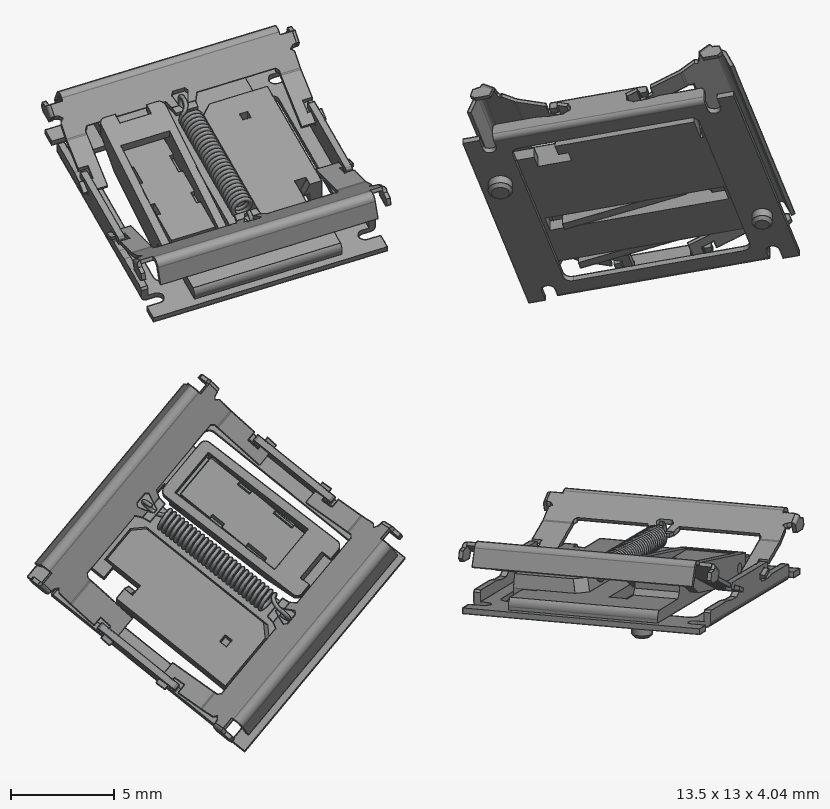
import cadquery as cq
import math

WIDTH = 13.5
DEPTH = 12.2
HALF_DEPTH = DEPTH / 2
DEPTH_OVER_EARS = 13.0
FAR = 27

PLATE_THICKNESS = 0.28
WALL_THICKNESS = 0.34
WALL_BEND_RADIUS = 0.27
WALL_HALF_LENGTH = 5.26
WALL_LOW_TOP = 0.85
WALL_HIGH_TOP = 1.59
WALL_HUMP_HALF = 2.42
WALL_HUMP_CORNER = 0.11
OPENING_HALF_X = 4.66
OPENING_HALF_Y = 5.06
OPENING_RADIUS = 0.4
NOTCH_WIDTH = 0.66
NOTCH_DEPTH = 1.01

RAIL_OUTER_X = 6.36
RAIL_INNER_X = 4.45
RAIL_FRONT_Y = -3.8
RAIL_BACK_Y = 3.9
RAIL_TOP = 0.88
RAIL_CURVE_START = 0.45
RAIL_CURVE_MIDDLE = 0.7
RAIL_CURVE_BULGE_X = 6.32
RAIL_CURVE_TOP_X = 6.17
RAISED_TOP = 1.55
DECK_HALF_X = 4.32
DECK_FRONT_Y = 0.7
DECK_BACK_Y = 4.41
DECK_CORNER = 0.54
DECK_DRAFT = 0.15
CUTOUT_INNER_X = 2.1
CUTOUT_OUTER_X = 2.6
CUTOUT_FRONT_Y = 3.2
CUTOUT_STEP_Y = 3.8
CATCH_LEFT_X = 2.2
CATCH_TIP_Y = 3.47
LEDGE_LEFT_X = 3.8
RECESS_LEFT_X = -3.0
RECESS_FRONT_Y = 2.47
RECESS_SIZE = 0.42
SPRING_FLOOR_FRONT_Y = -0.57
CORE_LEFT_X = -3.44
CORE_RIGHT_X = 3.45
CORE_BACK_Y = -1.5
CORE_STEP_Z = 1.17
CORE_FOOT_RUN = 0.2
SNAP_WIDTH = 0.2
SNAP_FLOOR_WIDTH = 0.11
SNAP_DEPTH = 0.27
SNAP_SPANS = [(-1.74, -0.61), (0.89, 1.62)]

ROCKER_LEFT_X = -4.29
ROCKER_RIGHT_X = 4.29
ROCKER_BACK_Y = -0.97
ROCKER_FRONT_Y = -4.35
ROCKER_WALL = 0.42
ROCKER_CORNER = 0.32
ROCKER_TOP_LEFT_Z = 2.7
ROCKER_TOP_RIGHT_Z = 1.46
ROCKER_PLATE = 0.42
ROCKER_HEIGHT = 1.47
ROCKER_HEEL_X = -2.31
ROCKER_TIP_HEIGHT = 0.63
WINDOW_LEFT_X = -2.5
WINDOW_RIGHT_X = 3.7
FINGER_NOTCH_DEPTH = 0.55
FINGER_NOTCH_DRAFT = 0.14
FINGER_NOTCH_WIDTH = 1.63
FINGER_NOTCH_Y = -2.65
PIVOT_X = 3.24
PIVOT_Z = 0.9
PIVOT_RADIUS = 0.27

SHEET = 0.19
CURL_CENTRE = (-5.93, 3.04)
CURL_RADIUS = 0.39
SLOPE = 34.6
LIP_ANGLE = 158
LIP_LENGTH = 0.93
BEND_X = -4.05
BEND_RADIUS = 0.35
ARM_SLOPE = 22.5
ARM_END_X = -1.43
WING_INNER_X = -4.36
ARM_INNER_Y = 5.06
WIDE_ARM_INNER_Y = 4.59
CURL_HALF_Y = 5.67
CURL_END_X = -5.59
EAR_OUTER_Y = DEPTH_OVER_EARS / 2
EAR_THICKNESS = 0.2
EAR_BEND_RADIUS = 0.19
INNER_CORNER = 0.14
TONGUE_ROOT_Y = 0.81
TONGUE_START_X = -4.12
TONGUE_START_HALF_WIDTH = 0.63
TONGUE_END_X = -3.65
TONGUE_END_HALF_WIDTH = 0.57
TAB_LEFT_X = -1.98
TAB_OUTER_Y = 6.33

WIRE_DIAMETER = 0.2
COIL_OUTER_DIAMETER = 1.19
COIL_RADIUS = (COIL_OUTER_DIAMETER - WIRE_DIAMETER) / 2
COIL_LENGTH = 6.55
COIL_START_ANGLE = 143
COIL_END_ANGLE = 360 - COIL_START_ANGLE
FULL_TURNS = 26
COIL_PITCH = COIL_LENGTH / (FULL_TURNS + (COIL_END_ANGLE - COIL_START_ANGLE) / 360)
SPRING_Z = 2.09
HOOK_X = 4.02

PEG_LENGTH = 0.61
PEG_CHAMFER = 0.16
PEG_X = 5.78
PEG_Y = 2.77
SMALL_PEG_DIAMETER = 1.0
LARGE_PEG_DIAMETER = 1.17


def block(x_range, y_range, z_range):
    """Box between the given limits."""
    size = [high - low for low, high in (x_range, y_range, z_range)]
    corner = [low for low, high in (x_range, y_range, z_range)]
    return cq.Workplane("XY").box(*size, centered=False).translate(tuple(corner))


def side_profile(points, y_range):
    """Prism along Y whose outline is given as (x, z) points."""
    low, high = y_range
    return cq.Workplane("XZ", origin=(0, high, 0)).polyline(points).close().extrude(high - low)


def mirrored_x(body):
    return body.mirror("YZ")


def mirrored_y(body):
    return body.mirror("XZ")


def wall_slot():
    """Hook-shaped opening in the wall for the tab of the -X wing."""
    outline = [
        (-WALL_HUMP_HALF - 0.68, WALL_LOW_TOP),
        (-WALL_HUMP_HALF, 0.75),
        (-1.75, 0.75),
        (-1.4, 0.95),
        (-1.4, 1.17),
        (-1.98, 1.4),
        (-2.04, 1.34),
        (-2.08, 1.22),
        (-WALL_HUMP_HALF, 1.22),
        (-WALL_HUMP_HALF - 0.68, WALL_HIGH_TOP),
    ]
    return side_profile(outline, (-FAR, FAR))


def frame_wall():
    """Wall folded up along the front edge, with a rounded bend at its foot."""
    y_range = (-HALF_DEPTH, -HALF_DEPTH + WALL_THICKNESS)
    low = block((-WALL_HALF_LENGTH, WALL_HALF_LENGTH), y_range, (0, WALL_LOW_TOP))
    low = low.edges("|Y and >Z").chamfer(WALL_HUMP_CORNER)
    hump = block((-WALL_HUMP_HALF, WALL_HUMP_HALF), y_range, (0, WALL_HIGH_TOP))
    hump = hump.edges("|Y and >Z").fillet(WALL_HUMP_CORNER)
    return low.union(hump).cut(wall_slot()).cut(mirrored_x(wall_slot()))


def corner_notches():
    """Round-ended relief notches beside the ends of both walls."""
    notch_x = WALL_HALF_LENGTH + NOTCH_WIDTH / 2
    notches = cq.Workplane("XY").pushPoints(
        [(x, y) for x in (-notch_x, notch_x) for y in (-HALF_DEPTH, HALF_DEPTH)]
    )
    return notches.slot2D(2 * NOTCH_DEPTH, NOTCH_WIDTH, 90).extrude(PLATE_THICKNESS)


def make_frame():
    plate = cq.Workplane("XY").rect(WIDTH, DEPTH).extrude(PLATE_THICKNESS)
    opening = cq.Workplane("XY").rect(2 * OPENING_HALF_X, 2 * OPENING_HALF_Y).extrude(PLATE_THICKNESS)
    plate = plate.cut(opening.edges("|Z").fillet(OPENING_RADIUS)).cut(corner_notches())
    frame = plate.union(frame_wall()).union(mirrored_y(frame_wall()))
    for y in (-HALF_DEPTH, HALF_DEPTH):
        foot = cq.selectors.BoxSelector((-WALL_HALF_LENGTH, y - 0.14, -0.14), (WALL_HALF_LENGTH, y + 0.14, 0.14))
        frame = frame.edges("|X").edges(foot).fillet(WALL_BEND_RADIUS)
    return frame


def rail():
    """Round-shouldered rail lying on the -X side of the frame."""
    outline = (
        cq.Workplane("XZ", origin=(0, RAIL_BACK_Y, 0))
        .moveTo(-RAIL_INNER_X, PLATE_THICKNESS)
        .lineTo(-RAIL_OUTER_X, PLATE_THICKNESS)
        .lineTo(-RAIL_OUTER_X, RAIL_CURVE_START)
        .threePointArc((-RAIL_CURVE_BULGE_X, RAIL_CURVE_MIDDLE), (-RAIL_CURVE_TOP_X, RAIL_TOP))
        .lineTo(-RAIL_INNER_X, RAIL_TOP)
        .close()
    )
    return outline.extrude(RAIL_BACK_Y - RAIL_FRONT_Y)


def deck_section(inset):
    """Plan outline of the deck, with its front corners cut off, drawn in by the inset."""
    x = DECK_HALF_X - inset
    y = DECK_FRONT_Y + inset
    return [
        (-x, DECK_BACK_Y),
        (-x, y + DECK_CORNER),
        (-x + DECK_CORNER, y),
        (x - DECK_CORNER, y),
        (x, y + DECK_CORNER),
        (x, DECK_BACK_Y),
    ]


def deck():
    """Raised deck behind the spring: drafted sides, a stepped corner cut-out, a catch and a square recess."""
    base = cq.Workplane("XY", origin=(0, 0, PLATE_THICKNESS)).polyline(deck_section(0)).close()
    base = base.extrude(RAIL_TOP - PLATE_THICKNESS)
    raised = cq.Workplane("XY", origin=(0, 0, RAIL_TOP)).polyline(deck_section(0)).close()
    raised = raised.workplane(offset=RAISED_TOP - RAIL_TOP).polyline(deck_section(DECK_DRAFT)).close()
    raised = raised.loft(ruled=True)

    wide_cut = block((CUTOUT_OUTER_X, FAR), (CUTOUT_FRONT_Y, FAR), (0, FAR))
    undercut = block((CUTOUT_INNER_X, CUTOUT_OUTER_X), (CUTOUT_FRONT_Y, CUTOUT_STEP_Y), (0, FAR))
    catch = (
        cq.Workplane("YZ", origin=(CATCH_LEFT_X, 0, 0))
        .polyline([(CUTOUT_STEP_Y, RAIL_TOP), (CUTOUT_STEP_Y, RAISED_TOP), (CATCH_TIP_Y, RAIL_TOP)])
        .close()
        .extrude(CUTOUT_OUTER_X - CATCH_LEFT_X)
    )
    recess = block(
        (RECESS_LEFT_X, RECESS_LEFT_X + RECESS_SIZE),
        (RECESS_FRONT_Y, RECESS_FRONT_Y + RECESS_SIZE),
        (RAIL_TOP, RAISED_TOP),
    )
    return base.union(raised).cut(wide_cut).cut(undercut).union(catch).cut(recess)


def low_floor():
    """Floor at rail height that joins the rails, the deck and the ledge in the corner cut-out."""
    heights = (PLATE_THICKNESS, RAIL_TOP)
    floor = block((-RAIL_INNER_X, RAIL_INNER_X), (SPRING_FLOOR_FRONT_Y, CUTOUT_FRONT_Y), heights)
    ledge = block((LEDGE_LEFT_X, RAIL_INNER_X), (CUTOUT_FRONT_Y, RAIL_BACK_Y), heights)
    return floor.union(ledge)


def snap_recesses():
    """Recesses with a sloping back along both long edges of the core."""
    recesses = cq.Workplane("XY")
    for edge_y, inward in ((CORE_BACK_Y, -1), (RAIL_FRONT_Y, 1)):
        outline = [
            (edge_y, RAISED_TOP),
            (edge_y + inward * SNAP_WIDTH, RAISED_TOP),
            (edge_y + inward * SNAP_FLOOR_WIDTH, RAISED_TOP - SNAP_DEPTH),
            (edge_y, RAISED_TOP - SNAP_DEPTH),
        ]
        for left, right in SNAP_SPANS:
            recess = cq.Workplane("YZ", origin=(left, 0, 0)).polyline(outline).close().extrude(right - left)
            recesses = recesses.add(recess)
    return recesses


def core():
    """Raised block inside the rocker, standing on a foot that joins the rails."""
    y_range = (RAIL_FRONT_Y, CORE_BACK_Y)
    foot = block((-RAIL_INNER_X, RAIL_INNER_X), y_range, (PLATE_THICKNESS, RAIL_TOP))
    outline = [
        (CORE_LEFT_X - CORE_FOOT_RUN, RAIL_TOP),
        (CORE_LEFT_X, CORE_STEP_Z),
        (CORE_LEFT_X, RAISED_TOP),
        (CORE_RIGHT_X, RAISED_TOP),
        (CORE_RIGHT_X, RAIL_TOP),
    ]
    body = side_profile(outline, y_range).union(foot)
    for recess in snap_recesses().vals():
        body = body.cut(cq.Workplane(recess))
    return body.union(pivot())


def pivot():
    """Pivot pin reaching both outer faces of the rocker."""
    axis = cq.Workplane("XZ", origin=(PIVOT_X, ROCKER_BACK_Y, PIVOT_Z))
    return axis.circle(PIVOT_RADIUS).extrude(ROCKER_BACK_Y - ROCKER_FRONT_Y)


def make_housing():
    housing = deck().union(low_floor()).union(core())
    return housing.union(rail()).union(mirrored_x(rail()))


def make_rocker():
    tilt = (ROCKER_TOP_LEFT_Z - ROCKER_TOP_RIGHT_Z) / (ROCKER_RIGHT_X - ROCKER_LEFT_X)

    def under_top(x, drop):
        return (x, ROCKER_TOP_LEFT_Z - tilt * (x - ROCKER_LEFT_X) - drop)

    outline = [
        under_top(ROCKER_LEFT_X, 0),
        under_top(ROCKER_RIGHT_X, 0),
        (ROCKER_RIGHT_X, RAIL_TOP),
        (WINDOW_RIGHT_X, RAIL_TOP),
        under_top(WINDOW_RIGHT_X, ROCKER_HEIGHT),
        under_top(ROCKER_HEEL_X, ROCKER_HEIGHT),
        under_top(ROCKER_LEFT_X, ROCKER_TIP_HEIGHT),
    ]
    body = side_profile(outline, (ROCKER_FRONT_Y, ROCKER_BACK_Y))
    rounded = block((ROCKER_LEFT_X, ROCKER_RIGHT_X), (ROCKER_FRONT_Y, ROCKER_BACK_Y), (0, FAR))
    body = body.intersect(rounded.edges("|Z").fillet(ROCKER_CORNER))

    inner_y = (ROCKER_FRONT_Y + ROCKER_WALL, ROCKER_BACK_Y - ROCKER_WALL)
    window = block((WINDOW_LEFT_X, WINDOW_RIGHT_X), inner_y, (0, FAR))
    hollow = side_profile(
        [
            under_top(ROCKER_LEFT_X, ROCKER_PLATE),
            under_top(WINDOW_LEFT_X, ROCKER_PLATE),
            (WINDOW_LEFT_X, 0),
            (ROCKER_LEFT_X, 0),
        ],
        inner_y,
    )
    notch_end_x = ROCKER_LEFT_X + FINGER_NOTCH_DEPTH
    finger_notch = side_profile(
        [
            under_top(ROCKER_LEFT_X, 0),
            under_top(notch_end_x, 0),
            under_top(notch_end_x - FINGER_NOTCH_DRAFT, ROCKER_PLATE),
            under_top(ROCKER_LEFT_X, ROCKER_PLATE),
        ],
        (FINGER_NOTCH_Y - FINGER_NOTCH_WIDTH / 2, FINGER_NOTCH_Y + FINGER_NOTCH_WIDTH / 2),
    )
    return body.cut(window).cut(hollow).cut(finger_notch).cut(pivot())


def curl_point(radius, degrees):
    """(x, z) point at the given radius and angle about the curl centre."""
    angle = math.radians(degrees)
    return (CURL_CENTRE[0] + radius * math.cos(angle), CURL_CENTRE[1] + radius * math.sin(angle))


def shifted(point, distance, degrees):
    """(x, z) point moved by a distance in the given direction."""
    angle = math.radians(degrees)
    return (point[0] + distance * math.cos(angle), point[1] + distance * math.sin(angle))


def slope_point(x):
    """Point at the given x on the upper face of the sloping plate."""
    start = curl_point(CURL_RADIUS, 90 - SLOPE)
    return shifted(start, (x - start[0]) / math.cos(math.radians(SLOPE)), -SLOPE)


def wing_strip():
    """Bent sheet of the -X wing over its full depth: lip, curl, sloping plate and flatter arm."""
    slope_start = 90 - SLOPE
    middle = (slope_start + LIP_ANGLE) / 2
    inner_radius = CURL_RADIUS - SHEET
    lip_outer = curl_point(CURL_RADIUS, LIP_ANGLE)
    lip_inner = curl_point(inner_radius, LIP_ANGLE)
    lip_direction = LIP_ANGLE + 90
    bend_top = slope_point(BEND_X)
    arm_length = (ARM_END_X - BEND_X) / math.cos(math.radians(ARM_SLOPE))
    arm_top = shifted(bend_top, arm_length, -ARM_SLOPE)
    mitre = SHEET / math.cos(math.radians((SLOPE - ARM_SLOPE) / 2))
    bend_under = shifted(bend_top, -mitre, 90 - (SLOPE + ARM_SLOPE) / 2)
    outline = (
        cq.Workplane("XZ", origin=(0, FAR / 2, 0))
        .moveTo(*shifted(lip_outer, LIP_LENGTH, lip_direction))
        .lineTo(*lip_outer)
        .threePointArc(curl_point(CURL_RADIUS, middle), curl_point(CURL_RADIUS, slope_start))
        .lineTo(*bend_top)
        .lineTo(*arm_top)
        .lineTo(*shifted(arm_top, -SHEET, 90 - ARM_SLOPE))
        .lineTo(*bend_under)
        .lineTo(*curl_point(inner_radius, slope_start))
        .threePointArc(curl_point(inner_radius, middle), lip_inner)
        .lineTo(*shifted(lip_inner, LIP_LENGTH, lip_direction))
        .close()
    )
    strip = outline.extrude(FAR)
    for (x, z), radius in ((bend_top, BEND_RADIUS), (bend_under, BEND_RADIUS + SHEET)):
        bend = cq.selectors.BoxSelector((x - 0.01, -FAR, z - 0.01), (x + 0.01, FAR, z + 0.01))
        strip = strip.edges("|Y").edges(bend).fillet(radius)
    return strip


def square_end(x, y_range):
    """Cutter that trims the sloping plate square to its face, on the -X side of the given x."""
    edge = slope_point(x)
    above = shifted(edge, SHEET, 90 - SLOPE)
    below = shifted(edge, -2 * SHEET, 90 - SLOPE)
    outline = [above, below, (below[0], 0), (-FAR, 0), (-FAR, FAR), (above[0], FAR)]
    return side_profile(outline, y_range)


def square_inner_edge(y_range):
    """Cutter that trims the inner edge of the sloping plate square to its face."""
    edge = slope_point(WING_INNER_X)
    below = shifted(edge, -2 * SHEET, 90 - SLOPE)
    return side_profile([edge, below, (WING_INNER_X, below[1])], y_range)


def tongue():
    """Level tongue that holds the spring hook."""
    top = slope_point(BEND_X)[1]
    outline = [
        (TONGUE_START_X, TONGUE_START_HALF_WIDTH),
        (TONGUE_END_X, TONGUE_END_HALF_WIDTH),
        (TONGUE_END_X, -TONGUE_END_HALF_WIDTH),
        (TONGUE_START_X, -TONGUE_START_HALF_WIDTH),
    ]
    return cq.Workplane("XY", origin=(0, 0, top - SHEET)).polyline(outline).close().extrude(SHEET)


def half_plan(arm_inner_y):
    """Plan outline of one half of the -X wing, from the lip round the arm to the spring tongue."""
    return [
        (-WIDTH / 2, EAR_OUTER_Y - EAR_BEND_RADIUS),
        (-5.09, EAR_OUTER_Y - EAR_BEND_RADIUS),
        (-5.05, HALF_DEPTH),
        (-4.93, 5.94),
        (-4.79, HALF_DEPTH),
        (-2.6, HALF_DEPTH),
        (-2.6, 5.6),
        (TAB_LEFT_X, 5.6),
        (TAB_LEFT_X, TAB_OUTER_Y),
        (ARM_END_X, TAB_OUTER_Y),
        (ARM_END_X, arm_inner_y),
        (WING_INNER_X + INNER_CORNER, arm_inner_y),
        (WING_INNER_X, arm_inner_y - INNER_CORNER),
        (WING_INNER_X, TONGUE_ROOT_Y),
        (TONGUE_START_X, 0.66),
        (BEND_X, TONGUE_START_HALF_WIDTH),
    ]


def ear():
    """Lug folded down at the back end of the -X wing."""
    outline = [
        (-5.59, 3.27),
        (-5.09, 2.93),
        (-5.32, 2.4),
        (-6.06, 2.4),
        (-6.26, 2.59),
        (-6.15, 2.95),
        (-5.79, 3.02),
    ]
    lug = side_profile(outline, (EAR_OUTER_Y - EAR_THICKNESS, EAR_OUTER_Y))
    top_edge = cq.selectors.BoxSelector((-5.56, EAR_OUTER_Y - 0.01, 2.94), (-5.13, EAR_OUTER_Y + 0.01, 3.33))
    return lug.edges(top_edge).fillet(EAR_BEND_RADIUS)


def make_wing(back_arm_inner_y):
    """Wing on the -X side with a hole in its tongue for the spring hook."""
    back = half_plan(back_arm_inner_y)
    front = [(x, -y) for x, y in reversed(half_plan(ARM_INNER_Y))]
    plan = cq.Workplane("XY").polyline(back + front).close().extrude(FAR)
    hole_outline = [(-4.67, 0.31), (-4.54, 0.43), (-3.78, 0.12)]
    hole_mirror = [(x, -y) for x, y in reversed(hole_outline)]
    hole = cq.Workplane("XY").polyline(hole_outline + hole_mirror).close().extrude(FAR)
    wing = wing_strip().intersect(plan).union(tongue()).cut(hole)
    for y_range in ((CURL_HALF_Y, FAR), (-FAR, -CURL_HALF_Y)):
        wing = wing.cut(square_end(CURL_END_X, y_range))
    back_edge = (TONGUE_ROOT_Y, back_arm_inner_y - INNER_CORNER)
    front_edge = (INNER_CORNER - ARM_INNER_Y, -TONGUE_ROOT_Y)
    for y_range in (back_edge, front_edge):
        wing = wing.cut(square_inner_edge(y_range))
    return wing.union(ear()).union(mirrored_y(ear()))


def coil_tangent(degrees):
    """Direction of the coil at an angle measured from +Y towards +Z."""
    angle = math.radians(degrees)
    advance = COIL_PITCH / (2 * math.pi)
    return cq.Vector(advance, -COIL_RADIUS * math.sin(angle), COIL_RADIUS * math.cos(angle))


def coil_point(x, degrees):
    """Point on the centre line of the coil."""
    angle = math.radians(degrees)
    return cq.Vector(x, COIL_RADIUS * math.cos(angle), SPRING_Z + COIL_RADIUS * math.sin(angle))


def coil_wire():
    """Helix along X that starts at the coil start angle, measured from +Y towards +Z."""
    origin = cq.Vector(0, 0, 0)
    helix = cq.Wire.makeHelix(COIL_PITCH, COIL_LENGTH, COIL_RADIUS)
    helix = helix.rotate(origin, cq.Vector(0, 1, 0), 90)
    helix = helix.rotate(origin, cq.Vector(1, 0, 0), COIL_START_ANGLE + 90)
    return helix.translate(cq.Vector(-COIL_LENGTH / 2, 0, SPRING_Z))


def make_spring():
    """Coil with a half-round hook at each end: led in at the top on the left, at the bottom on the right."""
    along = cq.Vector(1, 0, 0)
    rise = cq.Vector(0, 0, COIL_RADIUS)
    reach = cq.Vector(COIL_RADIUS, 0, 0)
    left = cq.Vector(-HOOK_X, 0, SPRING_Z)
    right = cq.Vector(HOOK_X, 0, SPRING_Z)
    left_hook = cq.Edge.makeThreePointArc(left - rise, left - reach, left + rise)
    right_hook = cq.Edge.makeThreePointArc(right - rise, right + reach, right + rise)
    left_lead = cq.Edge.makeSpline(
        [left + rise, coil_point(-COIL_LENGTH / 2, COIL_START_ANGLE)],
        tangents=[along, coil_tangent(COIL_START_ANGLE)],
    )
    right_lead = cq.Edge.makeSpline(
        [coil_point(COIL_LENGTH / 2, COIL_END_ANGLE), right - rise],
        tangents=[coil_tangent(COIL_END_ANGLE), along],
    )
    path = cq.Wire.assembleEdges([left_hook, left_lead, *coil_wire().Edges(), right_lead, right_hook])
    start = cq.Plane(origin=(left - rise).toTuple(), normal=(1, 0, 0))
    return cq.Workplane(start).circle(WIRE_DIAMETER / 2).sweep(path)


def make_peg(diameter, x, y):
    """Chamfered locating peg under the frame plate."""
    peg = cq.Workplane("XY").circle(diameter / 2).extrude(-PEG_LENGTH)
    return peg.faces("<Z").chamfer(PEG_CHAMFER).translate((x, y, 0))


frame = make_frame()
housing = make_housing()
rocker = make_rocker()
left_wing = make_wing(ARM_INNER_Y)
right_wing = mirrored_x(make_wing(WIDE_ARM_INNER_Y))
spring = make_spring()
pegs = [
    make_peg(diameter, side * PEG_X, side * PEG_Y)
    for diameter, side in ((SMALL_PEG_DIAMETER, -1), (LARGE_PEG_DIAMETER, 1))
]

bodies = [frame, housing, rocker, left_wing, right_wing, spring, *pegs]
result = cq.Compound.makeCompound([body.val() for body in bodies])